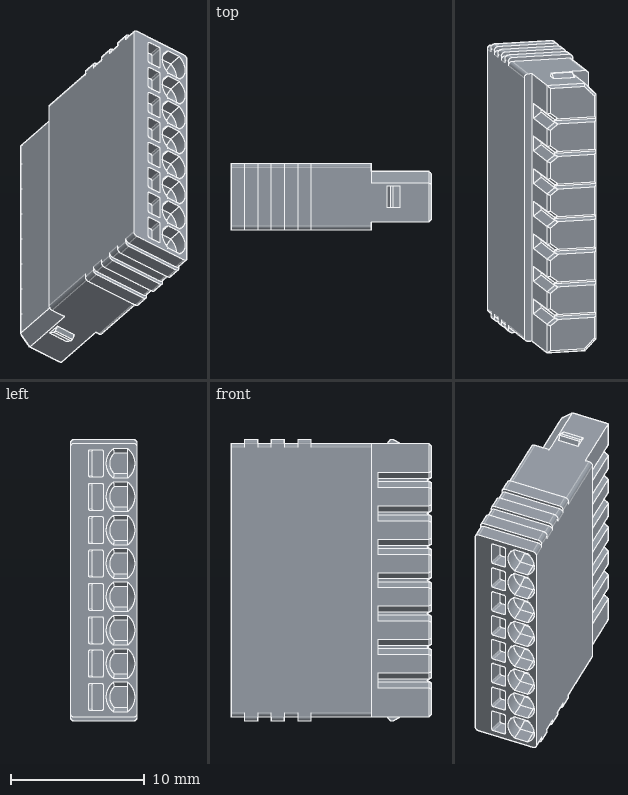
import cadquery as cq


BODY_LENGTH = 10.5
BODY_DEPTH = 5.0
BODY_HEIGHT = 20.5
CORNER_RADIUS = 0.3

RIB_RISE = 0.3
RIB_COUNT = 3
RIB_BAND = 5.0

TOTAL_LENGTH = 15.0
PLUG_INSET = 0.6
PLUG_CHAMFER = 0.2
KEY_CHAMFER = 0.89

POLE_COUNT = 8
POLE_SPAN = 17.5

SLOT_START = 11.0
SLOT_WIDTH = 1.12
SLOT_FLOOR = 0.23
SLOT_DEPTH = 0.6
NOTCH_WIDTH = 0.38
NOTCH_DEPTH = 0.32

LATCH_START = 11.69
LATCH_LENGTH = 0.97
LATCH_RAMP = 0.25
LATCH_CREST = 0.2
LATCH_WIDTH = 1.6

WINDOW_FRONT = 2.53
WINDOW_BACK = 3.65
WINDOW_HEIGHT = 2.03
WINDOW_DEPTH = 1.0
WINDOW_TAPER = 0.25
WINDOW_CORNER = 0.13

FUNNEL_CENTER = 1.25
FUNNEL_WIDTH = 2.15
FUNNEL_HEIGHT = 2.22
FUNNEL_FLAT = 1.05
FUNNEL_STRAIGHT = 1.05
FUNNEL_TAPER = 0.63
THROAT_FRONT = 0.72
THROAT_BACK = 1.7
THROAT_BULGE = 0.34
THROAT_HEIGHT = 1.55

rib_width = RIB_BAND / (2 * RIB_COUNT - 1)
pole_pitch = POLE_SPAN / (POLE_COUNT - 1)
body_middle = BODY_DEPTH / 2
body_top = BODY_HEIGHT / 2
plug_length = TOTAL_LENGTH - BODY_LENGTH
plug_depth = BODY_DEPTH - 2 * PLUG_INSET
pole_heights = [(i - (POLE_COUNT - 1) / 2) * pole_pitch for i in range(POLE_COUNT)]
gap_heights = [z + pole_pitch / 2 for z in pole_heights[:-1]]


def rounded_bar(start, length, height):
    """Bar along X with the body depth and rounded long edges, centred on Z."""
    bar = cq.Workplane("XY").box(length, BODY_DEPTH, height, centered=(False, False, True))
    return bar.edges("|X").fillet(CORNER_RADIUS).translate((start, 0, 0))


def finger_slot(z):
    """Slot with sloping sides in the front of the plug."""
    half_mouth = SLOT_WIDTH / 2
    half_floor = SLOT_FLOOR / 2
    outline = [(0, -half_mouth), (SLOT_DEPTH, -half_floor), (SLOT_DEPTH, half_floor), (0, half_mouth)]
    return (
        cq.Workplane("YZ", origin=(SLOT_START, PLUG_INSET, z))
        .polyline(outline)
        .close()
        .extrude(TOTAL_LENGTH - SLOT_START)
    )


def end_notch(z):
    """V notch across the plug end, separating neighbouring fingers."""
    return (
        cq.Workplane("XZ", origin=(TOTAL_LENGTH, 0, z))
        .polyline([(0, -NOTCH_WIDTH / 2), (-NOTCH_DEPTH, 0), (0, NOTCH_WIDTH / 2)])
        .close()
        .extrude(-BODY_DEPTH)
    )


def plug():
    """Plug block with keyed back corners, divided into fingers with a chamfered end."""
    block = cq.Workplane("XY").box(plug_length, plug_depth, BODY_HEIGHT, centered=(False, False, True))
    block = block.edges("|X and >Y").chamfer(KEY_CHAMFER)
    block = block.translate((BODY_LENGTH, PLUG_INSET, 0))
    for z in gap_heights:
        block = block.cut(finger_slot(z))
    block = block.faces(">X").edges().chamfer(PLUG_CHAMFER)
    for z in gap_heights:
        block = block.cut(end_notch(z))
    return block


def latch_bump():
    """Flat-crested ramp on the top of the plug, as high as the ribs."""
    return (
        cq.Workplane("XZ", origin=(LATCH_START, body_middle, body_top))
        .polyline([(0, 0), (LATCH_RAMP, RIB_RISE), (LATCH_RAMP + LATCH_CREST, RIB_RISE), (LATCH_LENGTH, 0)])
        .close()
        .extrude(LATCH_WIDTH / 2, both=True)
    )


def window(z):
    """Release window whose back wall slopes inward down to the floor."""
    width = WINDOW_BACK - WINDOW_FRONT
    inner_width = width - WINDOW_TAPER
    profile = [(0, 0), (width, 0), (inner_width, WINDOW_DEPTH), (0, WINDOW_DEPTH)]
    pocket = (
        cq.Workplane("YX", origin=(0, WINDOW_FRONT, z))
        .polyline(profile)
        .close()
        .extrude(WINDOW_HEIGHT / 2, both=True)
    )
    long_edges = pocket.edges("not(|Y or |Z)")
    return long_edges.fillet(WINDOW_CORNER)


def funnel_mouth(x, z):
    """Flat-topped round outline of the funnel mouth."""
    near = -FUNNEL_FLAT / 2
    far = FUNNEL_FLAT / 2
    half_height = FUNNEL_HEIGHT / 2
    return (
        cq.Workplane("YZ", origin=(x, FUNNEL_CENTER, z))
        .moveTo(near, -half_height)
        .lineTo(far, -half_height)
        .threePointArc((FUNNEL_WIDTH / 2, 0), (far, half_height))
        .lineTo(near, half_height)
        .threePointArc((-FUNNEL_WIDTH / 2, 0), (near, -half_height))
        .close()
    )


def throat(x, z):
    """D-shaped outline at the narrow end of the funnel."""
    half_height = THROAT_HEIGHT / 2
    return (
        cq.Workplane("YZ", origin=(x, 0, z))
        .moveTo(THROAT_FRONT, -half_height)
        .lineTo(THROAT_BACK, -half_height)
        .threePointArc((THROAT_BACK + THROAT_BULGE, 0), (THROAT_BACK, half_height))
        .lineTo(THROAT_FRONT, half_height)
        .close()
    )


def funnel(z):
    """Straight entry followed by a taper down to the throat."""
    entry = funnel_mouth(0, z).extrude(FUNNEL_STRAIGHT)
    wide_end = funnel_mouth(FUNNEL_STRAIGHT, z).val()
    narrow_end = throat(FUNNEL_STRAIGHT + FUNNEL_TAPER, z).val()
    taper = cq.Workplane(cq.Solid.makeLoft([wide_end, narrow_end], True))
    return entry.union(taper)


result = rounded_bar(0, BODY_LENGTH, BODY_HEIGHT)
for i in range(RIB_COUNT):
    rib_start = (2 * i + 1) * rib_width
    result = result.union(rounded_bar(rib_start, rib_width, BODY_HEIGHT + 2 * RIB_RISE))

result = result.union(plug())
bump = latch_bump()
result = result.union(bump).union(bump.mirror("XY"))

for z in pole_heights:
    result = result.cut(window(z)).cut(funnel(z))